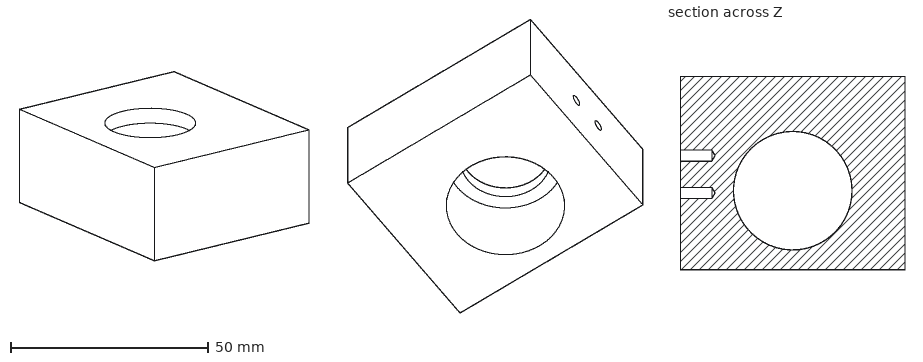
import cadquery as cq
import math

length = 57.0
width = 49.0
height = 25.0

bore_diameter = 23.0
counterbore_diameter = 30.0
lip_thickness = 4.0
bore_y = -4.45

drill_diameter = 2.75
drill_depth = 8.0
drill_point_angle = 118.0
drill_spacing = 9.45
drill_pair_y = -0.3


def stepped_bore():
    """Solid of the through bore joined with the counterbore beneath the lip."""
    base = cq.Workplane("XY", origin=(0, bore_y, -height / 2))
    bore = base.circle(bore_diameter / 2).extrude(height)
    counterbore = base.circle(counterbore_diameter / 2).extrude(height - lip_thickness)
    return bore.union(counterbore)


def drilled_hole(y):
    """Solid of a blind hole running in +X from the -X face, with a conical end."""
    radius = drill_diameter / 2
    point_length = radius / math.tan(math.radians(drill_point_angle / 2))
    face_x = -length / 2
    shoulder_x = face_x + drill_depth
    return (
        cq.Workplane("XY", origin=(0, y, 0))
        .moveTo(face_x, 0)
        .lineTo(face_x, radius)
        .lineTo(shoulder_x, radius)
        .lineTo(shoulder_x + point_length, 0)
        .close()
        .revolve(360, (0, 0, 0), (1, 0, 0))
    )


result = cq.Workplane("XY").box(length, width, height).cut(stepped_bore())
for side in (-1, 1):
    result = result.cut(drilled_hole(drill_pair_y + side * drill_spacing / 2))